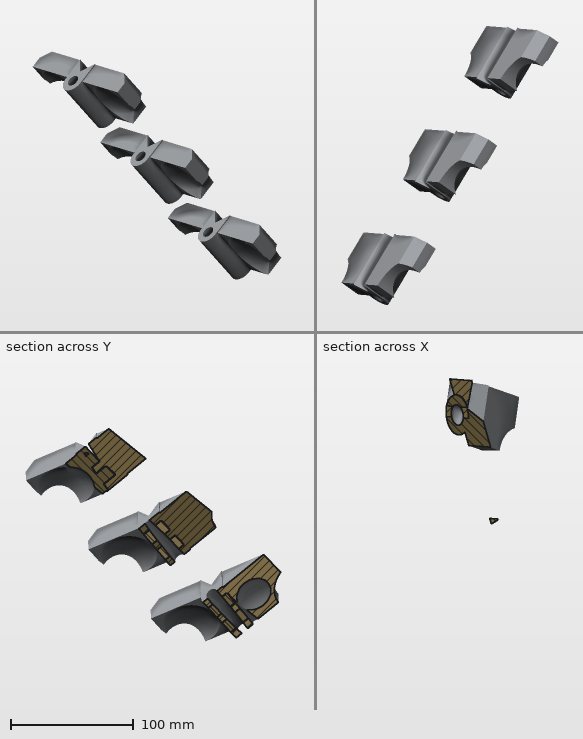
import cadquery as cq


turn_about_x = 18.0
turn_about_y = -29.97
turn_about_z = -27.25
hinge_count = 3
hinge_pitch = 100.0

barrel_radius = 10.0
barrel_length = 50.0
bore_diameter = 10.0
right_knuckle = barrel_length / 6
left_knuckle = (barrel_length - 3 * right_knuckle) / 2
knuckle_lengths = [right_knuckle, left_knuckle, right_knuckle, left_knuckle, right_knuckle]
right_knuckle_indices = [0, 2, 4]
left_knuckle_indices = [1, 3]

barrel_clearance = 0.1
leaf_face = 2.1
leaf_thickness = 18.2
leaf_length = 48.0
leaf_width = 48.1
edge_bevel = 8.75
leaf_back = leaf_face + leaf_thickness
inner_end = barrel_radius + barrel_clearance
outer_end = inner_end + leaf_length

notch_radius = 24.0
notch_x = 59.0
notch_z = -leaf_width / 2

pocket_rim_radius = 24.0
pocket_depth = 11.7
pocket_x = 35.2
pocket_sphere_radius = (pocket_rim_radius**2 + pocket_depth**2) / (2 * pocket_depth)


def knuckle_cylinders(indices):
    """Solid barrel slices for the knuckles with the given indices, counted from the bottom."""
    cylinders = []
    for index in indices:
        bottom = -barrel_length / 2 + sum(knuckle_lengths[:index])
        slice_plane = cq.Workplane("XY", origin=(0, 0, bottom))
        cylinders.append(slice_plane.circle(barrel_radius).extrude(knuckle_lengths[index]))
    return cylinders


def leaf_plate():
    """Bevelled plate of the right leaf, with its corner notch and spherical pocket."""
    outline = [
        (inner_end, leaf_face),
        (outer_end, leaf_face),
        (outer_end, leaf_back - edge_bevel),
        (outer_end - edge_bevel, leaf_back),
        (inner_end, leaf_back),
    ]
    plate = cq.Workplane("XY").polyline(outline).close().extrude(leaf_width / 2, both=True)
    notch = (
        cq.Workplane("XZ", origin=(notch_x, 0, notch_z))
        .circle(notch_radius)
        .extrude(-2 * leaf_back)
    )
    pocket_center = (pocket_x, leaf_face + pocket_depth - pocket_sphere_radius, 0)
    pocket = cq.Workplane("XY").sphere(pocket_sphere_radius).translate(pocket_center)
    return plate.cut(notch).cut(pocket)


def web():
    """Wedge that joins the right leaf plate to its knuckles over the whole barrel length."""
    outline = [
        (0, barrel_radius),
        (0, leaf_face),
        (inner_end, leaf_face),
        (inner_end, leaf_back),
    ]
    return cq.Workplane("XY").polyline(outline).close().extrude(barrel_length / 2, both=True)


def right_side_leaf(own_knuckles, other_knuckles):
    """Leaf on the +X side, with its own knuckles and round cut-outs for the other leaf's."""
    leaf = leaf_plate().union(web())
    for cylinder in knuckle_cylinders(other_knuckles):
        leaf = leaf.cut(cylinder)
    for cylinder in knuckle_cylinders(own_knuckles):
        leaf = leaf.union(cylinder)
    bore = cq.Workplane("XY").circle(bore_diameter / 2).extrude(barrel_length / 2, both=True)
    return leaf.cut(bore)


def place_in_row(leaf, hinge_index):
    """Copy of a leaf moved along the barrel axis to its hinge, then turned with the row."""
    offset = hinge_pitch * (hinge_index - (hinge_count - 1) / 2)
    return (
        leaf.translate((0, 0, offset))
        .rotate((0, 0, 0), (1, 0, 0), turn_about_x)
        .rotate((0, 0, 0), (0, 1, 0), turn_about_y)
        .rotate((0, 0, 0), (0, 0, 1), turn_about_z)
    )


right_leaf = right_side_leaf(right_knuckle_indices, left_knuckle_indices)
left_leaf = right_side_leaf(left_knuckle_indices, right_knuckle_indices).mirror("YZ")

bodies = []
for hinge in range(hinge_count):
    bodies.append(place_in_row(right_leaf, hinge).solids().val())
    bodies.append(place_in_row(left_leaf, hinge).solids().val())

result = cq.Compound.makeCompound(bodies)